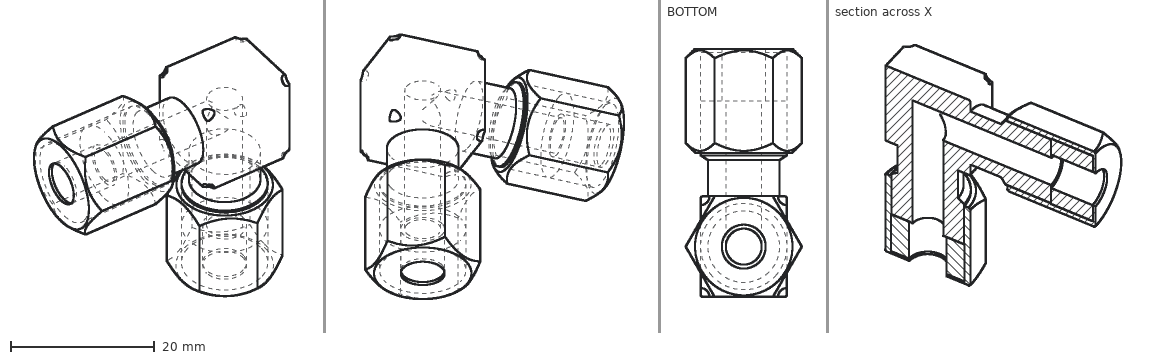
import cadquery as cq
import math

TOTAL_LENGTH = 34.5

BLOCK_WIDTH = 12.0
BLOCK_SIDE = 14.0
EDGE_RADIUS = 0.35
CORNER_SCOOP_RADIUS = 1.25

NECK_DIAMETER = 9.97
NECK_LENGTH = 5.0
THREAD_DIAMETER = BLOCK_WIDTH
BEVEL_LENGTH = 0.7
THREAD_EXPOSED = 0.3
FLOW_DIAMETER = 5.0

HEX_ACROSS_FLATS = BLOCK_SIDE
INNER_FACE_DIAMETER = 13.42
OUTER_FACE_DIAMETER = 13.55
NUT_LIP = 0.5
TUBE_DIAMETER = 6.1

block_bottom = -BLOCK_SIDE / 2
neck_end = block_bottom - NECK_LENGTH
bevel_end = neck_end - BEVEL_LENGTH
nut_top = bevel_end - THREAD_EXPOSED
nut_bottom = BLOCK_SIDE / 2 - TOTAL_LENGTH
lip_top = nut_bottom + NUT_LIP
thread_end = (nut_top + nut_bottom) / 2
hex_across_corners = HEX_ACROSS_FLATS / math.cos(math.radians(30))

ARM_TURNS = (0, -90)


def turned_about_x(body, angle):
    return body.rotate((0, 0, 0), (1, 0, 0), angle)


def turned_solid(radius_levels):
    """Solid of revolution about Z through (radius, level) points, closed along the axis."""
    first_level = radius_levels[0][1]
    last_level = radius_levels[-1][1]
    outline = [(0, first_level)] + [(-radius, level) for radius, level in radius_levels] + [(0, last_level)]
    return cq.Workplane("YZ").polyline(outline).close().revolve(360, (0, 0), (0, 1))


def cylinder(diameter, bottom, top):
    return turned_solid([(diameter / 2, bottom), (diameter / 2, top)])


def make_block():
    """Block with rounded edges and a spherical scoop in each corner."""
    block = cq.Workplane("XY").box(BLOCK_WIDTH, BLOCK_SIDE, BLOCK_SIDE).edges().fillet(EDGE_RADIUS)
    half_side = BLOCK_SIDE / 2
    for half_turn in (0, 180):
        for y in (-half_side, half_side):
            for z in (-half_side, half_side):
                scoop = cq.Workplane("XY").sphere(CORNER_SCOOP_RADIUS).translate((BLOCK_WIDTH / 2, y, z))
                block = block.cut(scoop.rotate((0, 0, 0), (0, 0, 1), half_turn))
    return block


def make_stub():
    """Neck that bevels out to the larger thread, starting inside the block."""
    return turned_solid([
        (NECK_DIAMETER / 2, 0),
        (NECK_DIAMETER / 2, neck_end),
        (THREAD_DIAMETER / 2, bevel_end),
        (THREAD_DIAMETER / 2, thread_end),
    ])


def make_elbow():
    elbow = make_block()
    for angle in ARM_TURNS:
        elbow = elbow.union(turned_about_x(make_stub(), angle))
    vertical_passage = cylinder(FLOW_DIAMETER, thread_end, FLOW_DIAMETER / 2)
    horizontal_passage = turned_about_x(cylinder(FLOW_DIAMETER, thread_end, 0), ARM_TURNS[1])
    return elbow.cut(vertical_passage).cut(horizontal_passage)


def make_nut():
    """Hexagon with 45 degree turned chamfers, hollowed for the thread and the ferrule."""
    corner_radius = hex_across_corners / 2
    inner_chamfer = corner_radius - INNER_FACE_DIAMETER / 2
    outer_chamfer = corner_radius - OUTER_FACE_DIAMETER / 2
    hexagon = (
        cq.Workplane("XY")
        .workplane(offset=nut_bottom)
        .polygon(6, hex_across_corners)
        .extrude(nut_top - nut_bottom)
    )
    envelope = turned_solid([
        (INNER_FACE_DIAMETER / 2, nut_top),
        (corner_radius, nut_top - inner_chamfer),
        (corner_radius, nut_bottom + outer_chamfer),
        (OUTER_FACE_DIAMETER / 2, nut_bottom),
    ])
    cavity = cylinder(THREAD_DIAMETER, lip_top, nut_top)
    tube_bore = cylinder(TUBE_DIAMETER, nut_bottom, lip_top)
    return hexagon.intersect(envelope).cut(cavity).cut(tube_bore)


def make_ferrule():
    """Plain ring clamped between the end of the thread and the lip of the nut."""
    ring = cylinder(THREAD_DIAMETER, lip_top, thread_end)
    return ring.cut(cylinder(TUBE_DIAMETER, lip_top, thread_end))


elbow = make_elbow()
nuts = [turned_about_x(make_nut(), angle) for angle in ARM_TURNS]
ferrules = [turned_about_x(make_ferrule(), angle) for angle in ARM_TURNS]

result = cq.Compound.makeCompound([
    elbow.val(),
    *[nut.val() for nut in nuts],
    *[ferrule.val() for ferrule in ferrules],
])